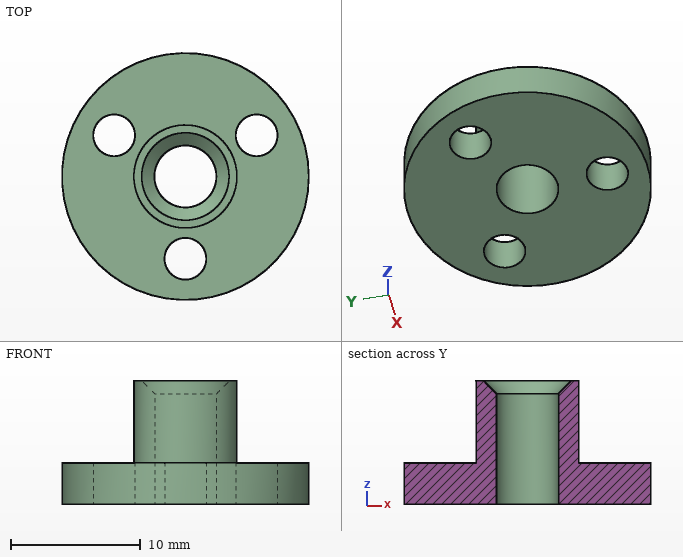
import cadquery as cq

flange_diameter = 19.05
flange_thickness = 3.18
total_height = 9.52
hub_diameter = 7.95
bore_diameter = 4.76
countersink_diameter = 6.75
bolt_hole_diameter = 3.2
bolt_circle_radius = 6.35
bolt_hole_count = 3
first_bolt_hole_angle = -90.0

countersink_depth = (countersink_diameter - bore_diameter) / 2


def make_body():
    """Round flange with a coaxial hub, standing on the XY plane."""
    flange = cq.Workplane("XY").circle(flange_diameter / 2).extrude(flange_thickness)
    hub = cq.Workplane("XY").circle(hub_diameter / 2).extrude(total_height)
    return flange.union(hub)


def make_bore():
    """Through bore that widens into a countersink at the top of the hub."""
    bore = cq.Workplane("XY").circle(bore_diameter / 2).extrude(total_height)
    countersink = (
        cq.Workplane("XY")
        .workplane(offset=total_height - countersink_depth)
        .circle(bore_diameter / 2)
        .workplane(offset=countersink_depth)
        .circle(countersink_diameter / 2)
        .loft()
    )
    return bore.union(countersink)


def make_bolt_holes():
    """Evenly spaced holes through the flange."""
    return (
        cq.Workplane("XY")
        .polarArray(bolt_circle_radius, first_bolt_hole_angle, 360, bolt_hole_count)
        .circle(bolt_hole_diameter / 2)
        .extrude(flange_thickness)
    )


result = make_body().cut(make_bore()).cut(make_bolt_holes())